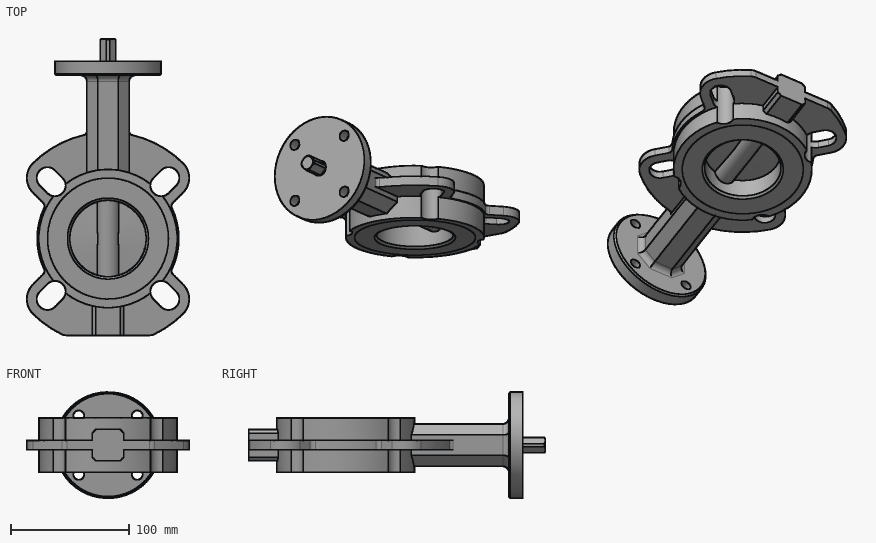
import cadquery as cq
import math


ring_radius = 58.5
ring_height = 46.0

plate_radius = 90.0
plate_thickness = 8.0
plate_bottom_y = -82.0
waist_radius = 60.0
waist_fillet = 4.0
bottom_corner_fillet = 10.0
bolt_circle_outer = 145.0 / 2
bolt_circle_inner = 127.0 / 2
slot_radius = 9.0
lug_radius = plate_radius - bolt_circle_outer

neck_width = 36.0
neck_corner = 9.4
neck_flange_fillet = 5.0
neck_plate_fillet = 3.0

flange_radius = 45.0
flange_top_y = 150.0
flange_thickness = 12.0
flange_bottom_y = flange_top_y - flange_thickness
flange_chamfer = 1.5
flange_hole_circle_radius = 35.0
flange_hole_radius = 4.5

boss_width = 26.5
boss_corner = 3.0

liner_radius = 51.2
bore_radius = 32.3
bore_chamfer = 2.0

hub_radius = 9.5
disc_center_thickness = 8.0
disc_rim_thickness = 4.0

stem_radius = 6.6
stem_top_y = 169.0
stem_bottom_y = -70.0
head_square = 11.0
head_chamfer = 1.0

selection_margin = 0.1


def plane_facing_y(y):
    """Workplane at height y on the stem axis that extrudes toward +Y."""
    return cq.Workplane(cq.Plane(origin=(0, y, 0), xDir=(1, 0, 0), normal=(0, 1, 0)))


def cylinder_on_z(radius, height):
    """Cylinder on the bore axis, centred on the plane Z = 0."""
    return cq.Workplane("XY").circle(radius).extrude(height / 2, both=True)


def polar_point(radius, degrees):
    """Point in the XY plane at a radius and angle about the bore axis."""
    angle = math.radians(degrees)
    return (radius * math.cos(angle), radius * math.sin(angle))


def mirrored_down(point):
    """Mirror image of a point across the X axis."""
    return (point[0], -point[1])


def upright_edge_at(point):
    """Selector for the plate's vertical edge through an XY point."""
    x, y = point
    margin = selection_margin
    low_corner = (x - margin, y - margin, -plate_thickness)
    high_corner = (x + margin, y + margin, plate_thickness)
    return cq.selectors.BoxSelector(low_corner, high_corner)


def octagonal_bar(width, corner, y_start, y_end):
    """Square bar along Y with its four long edges cut off."""
    bar = plane_facing_y(y_start).rect(width, width).extrude(y_end - y_start)
    return bar.edges("|Y").chamfer(corner)


def make_plate():
    """Plate with four lugs: the +X half is drawn and then mirrored."""
    lug_x, lug_y = polar_point(bolt_circle_outer, 45)
    lug_tip = polar_point(plate_radius, 45)
    lug_outermost = (lug_x + lug_radius, lug_y)
    side_dx, side_dy = polar_point(lug_radius, -45)
    lug_side = (lug_x + side_dx, lug_y + side_dy)
    waist_corner_angle = 45 - math.degrees(math.asin(lug_radius / waist_radius))
    waist_corner = polar_point(waist_radius, waist_corner_angle)
    bottom_corner_angle = math.degrees(math.asin(plate_bottom_y / plate_radius))
    bottom_corner = polar_point(plate_radius, bottom_corner_angle)

    half = (
        cq.Workplane("XY", origin=(0, 0, -plate_thickness / 2))
        .moveTo(0, plate_radius)
        .threePointArc(polar_point(plate_radius, 67.5), lug_tip)
        .threePointArc(lug_outermost, lug_side)
        .lineTo(*waist_corner)
        .threePointArc((waist_radius, 0), mirrored_down(waist_corner))
        .lineTo(*mirrored_down(lug_side))
        .threePointArc(mirrored_down(lug_outermost), mirrored_down(lug_tip))
        .threePointArc(polar_point(plate_radius, (bottom_corner_angle - 45) / 2), bottom_corner)
        .lineTo(0, plate_bottom_y)
        .close()
        .extrude(plate_thickness)
    )
    for corner in (waist_corner, mirrored_down(waist_corner)):
        half = half.edges(upright_edge_at(corner)).fillet(waist_fillet)
    half = half.edges(upright_edge_at(bottom_corner)).fillet(bottom_corner_fillet)
    return half.union(half.mirror("YZ"))


def make_neck_and_flange():
    """Octagonal neck with a fillet where it meets the actuator flange."""
    neck = octagonal_bar(neck_width, neck_corner, 0, flange_bottom_y)
    flange = plane_facing_y(flange_bottom_y).circle(flange_radius).extrude(flange_thickness)
    flange = flange.faces("<Y").edges().chamfer(flange_chamfer)
    joint = cq.selectors.BoxSelector(
        (-neck_width, flange_bottom_y - selection_margin, -neck_width),
        (neck_width, flange_bottom_y + selection_margin, neck_width),
    )
    return neck.union(flange).edges(joint).edges("not %CIRCLE").fillet(neck_flange_fillet)


def bolt_slots():
    """Four diagonal slots, which also notch the ring over its full height."""
    slot_length = bolt_circle_outer - bolt_circle_inner + 2 * slot_radius
    slot_center = (bolt_circle_outer + bolt_circle_inner) / 2
    return (
        cq.Workplane("XY")
        .polarArray(slot_center, 45, 360, 4)
        .slot2D(slot_length, 2 * slot_radius)
        .extrude(ring_height / 2, both=True)
    )


def flange_holes():
    return (
        plane_facing_y(flange_bottom_y)
        .polarArray(flange_hole_circle_radius, 45, 360, 4)
        .circle(flange_hole_radius)
        .extrude(flange_thickness)
    )


def stem_shank():
    """Round length of the stem, up to the top of the flange; also the hole that holds it."""
    return plane_facing_y(stem_bottom_y).circle(stem_radius).extrude(flange_top_y - stem_bottom_y)


def make_housing():
    boss = octagonal_bar(boss_width, boss_corner, plate_bottom_y, 0)
    ring = cylinder_on_z(ring_radius, ring_height)
    body = make_plate().union(ring).union(make_neck_and_flange()).union(boss)
    neck_side_x = neck_width / 2
    neck_side_y = math.sqrt(plate_radius**2 - neck_side_x**2)
    for x in (-neck_side_x, neck_side_x):
        body = body.edges("|Z").edges(upright_edge_at((x, neck_side_y))).fillet(neck_plate_fillet)
    body = body.cut(bolt_slots()).cut(flange_holes())
    return body.cut(cylinder_on_z(liner_radius, ring_height)).cut(stem_shank())


def make_liner():
    bore = cylinder_on_z(bore_radius, ring_height)
    liner = cylinder_on_z(liner_radius, ring_height).cut(bore)
    liner = liner.edges(cq.selectors.RadiusNthSelector(0)).chamfer(bore_chamfer)
    return liner.cut(stem_shank())


def make_disc():
    half_center = disc_center_thickness / 2
    half_rim = disc_rim_thickness / 2
    plate = (
        cq.Workplane("XZ")
        .moveTo(0, -half_center)
        .lineTo(bore_radius, -half_rim)
        .lineTo(bore_radius, half_rim)
        .lineTo(0, half_center)
        .close()
        .revolve(360, (0, 0, 0), (0, 1, 0))
    )
    hub = plane_facing_y(-bore_radius).circle(hub_radius).extrude(2 * bore_radius)
    hub = hub.intersect(cylinder_on_z(bore_radius, ring_height))
    return plate.union(hub).cut(stem_shank())


def make_stem():
    """Round shank with a square head set on edge, its corners rounded to the shank radius."""
    head_length = stem_top_y - flange_top_y
    head_round = plane_facing_y(flange_top_y).circle(stem_radius).extrude(head_length)
    head_round = head_round.faces(">Y").edges().chamfer(head_chamfer)
    square = plane_facing_y(flange_top_y).rect(head_square, head_square).extrude(head_length)
    square = square.rotate((0, 0, 0), (0, 1, 0), 45)
    return stem_shank().union(head_round.intersect(square))


housing = make_housing().solids()
liner = make_liner().solids()
disc = make_disc().solids()
stem = make_stem().solids()

result = cq.Compound.makeCompound([housing.val(), liner.val(), disc.val(), stem.val()])